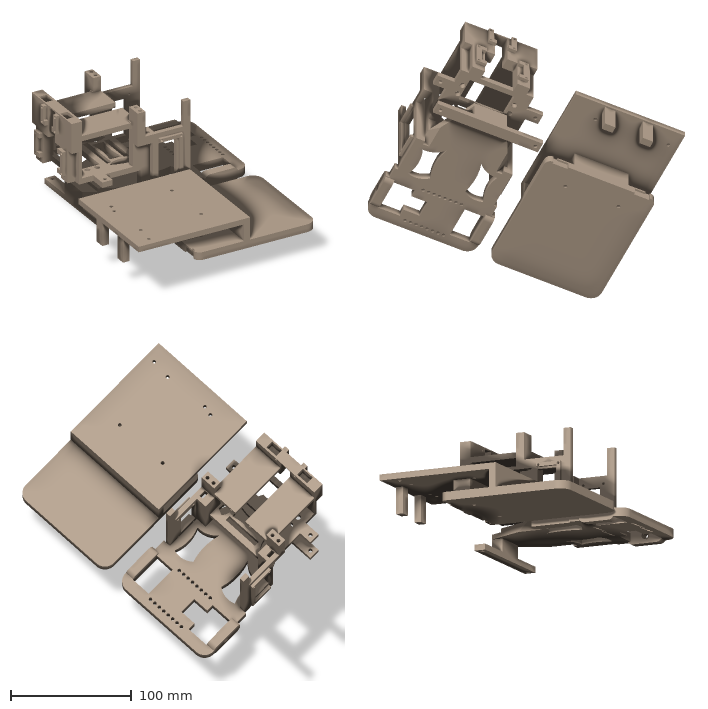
import cadquery as cq


total_width = 213.5
body_width = 100.1
half_width = body_width / 2
cover_center_x = total_width - body_width
base_thickness = 7.3
plate_bottom = 22.8
plate_top = 28.0
rear_corner_radius = 10.0

ear_rear_y = -10.2
ear_front_y = -42.5
panel_rear_y = -53.0
pillar_front_y = -59.5
ledge_rear_y = -85.4
panel_front_y = -88.8
plate_rear_y = -90.3
post_rear_y = -95.8
post_front_y = -103.3
base_step_y = -128.0
arm_rear_y = -129.5
arm_front_y = -139.4
block_rear_y = -150.0
block_front_y = -160.0

shoulder_x = 46.7
panel_outer_x = 44.0
panel_inner_x = 39.7
leg_outer_x = 36.3
leg_inner_x = 29.7
block_outer_x = 33.0
block_window_x = 15.0
slot_x = 5.5
arm_tip_x = 48.0

wall_top = 57.8
post_top = 81.1
post_shoulder = 50.0
shelf_bottom = 62.5
shelf_top = 67.5

window_rear_y = -10.2
window_front_y = -39.3
ear_inner_x = 41.8
ear_bottom = -2.5
ear_top = 10.2
ear_fillet = 5.1
pivot_y = -25.6
pivot_z = (ear_bottom + ear_top) / 2
pivot_diameter = 6.0
pivot_boss_diameter = 7.0
pivot_boss_length = 0.9
left_window_inner_x = -21.8
right_window_inner_x = 24.0
notch_inner_x = -7.0
notch_rear_y = -17.3
notch_front_y = -32.7
header_count = 8
header_span = 35.2
header_center_x = 1.7
header_rows_y = (-7.7, -42.5)
header_diameter = 3.0
curved_rear_outer = (-34.2, -52.7)
curved_rear_middle = (-26.0, -51.7)
curved_rear_inner = (-16.0, -56.0)
curved_inner_middle = (-18.4, -71.5)
curved_front_inner = (-16.0, -87.7)
curved_front_middle = (-23.7, -82.0)
curved_front_outer = (-34.2, -80.3)
curved_outer_middle = (-31.4, -66.4)
nose_half_width = 15.0
nose_top = 4.0
chamfer_width = 5.5
stand_bottom = -16.2
stand_top = -11.0
arm_hole_x = 43.5
arm_hole_y = -134.3
arm_hole_diameter = 3.5

pad_bar = 3.2
pad_hole_diameter = 2.3
pad_hole_inset = 2.0
panel_pad_outer_x = 46.7
panel_pad_rear_y = -61.3
panel_pad_front_y = -83.5
panel_pad_top = 53.2
opening_rear_y = -66.2
opening_bottom = 13.7
opening_top = 48.2
ledge_slot_front_y = -95.2
recess_depth = 1.7
post_hole_x = (33.5, 40.3)
post_hole_y = -99.0
post_hole_diameter = 3.2
post_hole_depth = 10.7
collar_thickness = 0.9

block_window_top = 51.5
slot_top = 79.8
block_notch_x = 26.5
block_notch_y = -153.0
block_notch_top = 53.2
pocket_inner_x = 12.0
pocket_outer_x = 23.0
pocket_rear_y = -152.0
pocket_front_y = -158.8
pocket_depth = 10.7
block_pad_height = 3.5
lower_pad_outer_x = 23.7
lower_pad_bottom = 28.8
lower_pad_top = 51.2
upper_pad_outer_x = 12.5
upper_pad_bottom = 63.0
upper_pad_top = 79.8
block_pad_bar = 4.3

bar_rear_y = -146.6
bar_front_y = -151.5
mouth_left_x = -22.5
mouth_right_x = 18.4
mouth_rear_y = -124.9
rear_slot_x = 16.6
rear_slot_front_y = -100.5
front_slot_x = 20.3
front_slot_rear_y = -114.5
front_slot_front_y = -119.1
waist_x = 15.0
waist_center_y = -107.5
waist_end_half = 5.5
waist_middle_half = 3.8
plate_window_inner_rear = (-22.0, -96.5)
plate_window_inner_middle = (-18.4, -107.2)
plate_window_front = (-23.7, -118.3)
plate_window_outer_middle = (-26.3, -110.0)
plate_window_outer_rear = (-27.7, -99.3)
screws_x = (-25.5, 22.2)
screws_y = (-129.4, -138.7)
screw_diameter = 4.7

cover_length = 171.0
step_y = -64.5
step_wall_thickness = 5.8
front_corner_radius = 5.5
relief_depth = 1.7
relief_outer_x = 44.2
relief_step_x = 40.3
relief_inner_x = 30.5
relief_top = 5.8
rib_half_width = 24.8
rib_rear_y = -100.0
rib_front_y = -115.3
cover_leg_rear_y = -163.3
cover_leg_front_y = -169.5
cover_left_leg_x = -22.6
cover_leg_width = 9.5
cover_leg_pitch = 34.5
mount_x = 24.3
mounts_y = (-96.5, -154.3)
mount_diameter = 3.2
front_holes_x = (-16.0, 41.6)
front_hole_y = -156.5
front_hole_diameter = 3.0


def box(x_range, y_range, z_range):
    """A box between two values on each axis, given in either order."""
    x0, x1 = sorted(x_range)
    y0, y1 = sorted(y_range)
    z0, z1 = sorted(z_range)
    return cq.Workplane("XY").box(x1 - x0, y1 - y0, z1 - z0, centered=False).translate((x0, y0, z0))


def pair(shape):
    """A shape together with its mirror image across X = 0."""
    return shape.union(shape.mirror("YZ"))


def drill_z(points, diameter, z_range):
    """Round cutters along Z; the points are (x, y)."""
    z0, z1 = z_range
    return cq.Workplane("XY", origin=(0, 0, z0)).pushPoints(points).circle(diameter / 2).extrude(z1 - z0)


def drill_y(points, diameter, y_range):
    """Round cutters along Y; the points are (x, z)."""
    y0, y1 = y_range
    return cq.Workplane("XZ", origin=(0, y1, 0)).pushPoints(points).circle(diameter / 2).extrude(y1 - y0)


def drill_x(points, diameter, x_range):
    """Round cutters along X; the points are (y, z)."""
    x0, x1 = x_range
    return cq.Workplane("YZ", origin=(x0, 0, 0)).pushPoints(points).circle(diameter / 2).extrude(x1 - x0)


def base():
    """Floor of the frame: rounded rear, shoulders, and a nose that narrows and thins to the front."""
    rear = box((-half_width, half_width), (ear_front_y, 0), (0, base_thickness))
    rear = rear.edges("|Z and >Y").fillet(rear_corner_radius)
    shoulders = box((-shoulder_x, shoulder_x), (panel_rear_y, ear_front_y), (0, base_thickness))
    middle = box((-panel_outer_x, panel_outer_x), (panel_front_y, panel_rear_y), (0, base_thickness))
    nose = (
        cq.Workplane("XY")
        .polyline([
            (-leg_outer_x, panel_front_y), (-leg_outer_x, post_rear_y), (-nose_half_width, arm_front_y),
            (nose_half_width, arm_front_y), (leg_outer_x, post_rear_y), (leg_outer_x, panel_front_y),
        ])
        .close()
        .extrude(base_thickness)
    )
    thinning = box((-leg_outer_x, leg_outer_x), (arm_front_y, base_step_y), (nose_top, base_thickness))
    return rear.union(shoulders).union(middle).union(nose.cut(thinning))


def nose_chamfers():
    """Sloped cuts under both edges of the nose, starting behind the front face of the side panels."""
    wedge = (
        cq.Workplane("XZ", origin=(0, ledge_rear_y, 0))
        .polyline([(-leg_outer_x, base_thickness), (-leg_outer_x, 0), (-leg_outer_x + chamfer_width, 0)])
        .close()
        .extrude(ledge_rear_y - base_step_y)
    )
    return pair(wedge)


def base_cutouts():
    """Rear windows, header holes and the pair of curved windows, all through the floor."""
    through = (0, base_thickness)
    left = box((-ear_inner_x, left_window_inner_x), (window_front_y, window_rear_y), through)
    notch = box((left_window_inner_x, notch_inner_x), (notch_front_y, notch_rear_y), through)
    right = box((right_window_inner_x, ear_inner_x), (window_front_y, window_rear_y), through)
    first_x = header_center_x - header_span / 2
    pitch = header_span / (header_count - 1)
    headers = [(first_x + i * pitch, y) for i in range(header_count) for y in header_rows_y]
    curved = (
        cq.Workplane("XY")
        .moveTo(*curved_rear_outer)
        .threePointArc(curved_rear_middle, curved_rear_inner)
        .threePointArc(curved_inner_middle, curved_front_inner)
        .threePointArc(curved_front_middle, curved_front_outer)
        .threePointArc(curved_outer_middle, curved_rear_outer)
        .close()
        .extrude(base_thickness)
    )
    header_holes = drill_z(headers, header_diameter, through)
    return left.union(notch).union(right).union(header_holes).union(pair(curved))


def ears():
    """Thick rounded side rails beside the rear windows."""
    ear = box((-half_width, -ear_inner_x), (ear_front_y, ear_rear_y), (ear_bottom, ear_top))
    return pair(ear.edges("|X").fillet(ear_fillet))


def pivot_boss():
    """Low boss on the inner side of the left ear."""
    length = (-ear_inner_x, -ear_inner_x + pivot_boss_length)
    return drill_x([(pivot_y, pivot_z)], pivot_boss_diameter, length)


def pivot_bore():
    """Bore through the left ear and its boss."""
    return drill_x([(pivot_y, pivot_z)], pivot_diameter, (-half_width, -ear_inner_x + pivot_boss_length))


def side_panel():
    """Left side panel: wall, rear pillar, front return wall and the raised C frame around its opening."""
    wall = box((-panel_outer_x, -panel_inner_x), (panel_front_y, panel_rear_y), (0, wall_top))
    pillar = box((-panel_outer_x, -panel_inner_x), (pillar_front_y, panel_rear_y), (0, post_top))
    wall_heights = (base_thickness, wall_top)
    return_wall = box((-panel_outer_x, -leg_inner_x), (panel_front_y, ledge_rear_y), wall_heights)
    pad_span = (panel_pad_front_y, panel_pad_rear_y)
    pad = box((-panel_pad_outer_x, -panel_outer_x), pad_span, (base_thickness, panel_pad_top))
    pad_hollow = box(
        (-panel_pad_outer_x, -panel_outer_x),
        (panel_pad_front_y, panel_pad_rear_y - pad_bar),
        (base_thickness + pad_bar, panel_pad_top - pad_bar),
    )
    opening = box(
        (-panel_pad_outer_x, -panel_inner_x),
        (panel_pad_front_y, opening_rear_y),
        (opening_bottom, opening_top),
    )
    holes = [
        (y, z)
        for y in (panel_pad_rear_y - pad_hole_inset, panel_pad_front_y + pad_hole_inset)
        for z in (base_thickness + pad_hole_inset, panel_pad_top - pad_hole_inset)
    ]
    bores = drill_x(holes, pad_hole_diameter, (-panel_pad_outer_x, -panel_inner_x))
    panel = wall.union(pillar).union(return_wall).union(pad)
    return panel.cut(pad_hollow).cut(opening).cut(bores)


def front_post():
    """Left front post: leg, ledge with a slot, overhanging head with two blind holes, and shelf collar."""
    leg = box((-leg_outer_x, -leg_inner_x), (post_rear_y, panel_front_y), (base_thickness, wall_top))
    ledge = box((-panel_outer_x, -leg_inner_x), (post_rear_y, panel_front_y), (post_shoulder, wall_top))
    slot = box(
        (-panel_inner_x, -leg_outer_x), (ledge_slot_front_y, panel_front_y), (post_shoulder, wall_top)
    )
    column = box((-leg_outer_x, -leg_inner_x), (post_front_y, post_rear_y), (plate_bottom, post_top))
    head = box((-panel_outer_x, -leg_inner_x), (post_front_y, post_rear_y), (post_shoulder, post_top))
    points = [(-x, post_hole_y) for x in post_hole_x]
    holes = drill_z(points, post_hole_diameter, (post_top - post_hole_depth, post_top))
    collar = box(
        (-block_outer_x - collar_thickness, -leg_inner_x),
        (post_front_y - collar_thickness, post_front_y),
        (shelf_bottom, shelf_top + collar_thickness),
    )
    return leg.union(ledge.cut(slot)).union(column).union(head).cut(holes).union(collar)


def right_recess():
    """Shallow recess in the front face of the right return wall only."""
    return box(
        (leg_outer_x, panel_inner_x),
        (panel_front_y, panel_front_y + recess_depth),
        (base_thickness, post_shoulder),
    )


def lower_plate():
    """Plate between the legs and the front block, with mounting arms and a pattern of openings."""
    heights = (plate_bottom, plate_top)
    plate = box((-leg_outer_x, leg_outer_x), (arm_front_y, plate_rear_y), heights)
    arms = box((-arm_tip_x, arm_tip_x), (arm_front_y, arm_rear_y), heights)
    rails = box((-block_outer_x, block_outer_x), (bar_front_y, arm_front_y), heights)
    mouth = box((mouth_left_x, mouth_right_x), (bar_rear_y, mouth_rear_y), heights)
    rear_slot = box((-rear_slot_x, rear_slot_x), (rear_slot_front_y, post_rear_y), heights)
    front_slot = box((-front_slot_x, front_slot_x), (front_slot_front_y, front_slot_rear_y), heights)
    waist = (
        cq.Workplane("XY", origin=(0, 0, plate_bottom))
        .moveTo(-waist_x, waist_center_y + waist_end_half)
        .threePointArc((0, waist_center_y + waist_middle_half), (waist_x, waist_center_y + waist_end_half))
        .lineTo(waist_x, waist_center_y - waist_end_half)
        .threePointArc((0, waist_center_y - waist_middle_half), (-waist_x, waist_center_y - waist_end_half))
        .close()
        .extrude(plate_top - plate_bottom)
    )
    side_window = (
        cq.Workplane("XY", origin=(0, 0, plate_bottom))
        .moveTo(*plate_window_inner_rear)
        .threePointArc(plate_window_inner_middle, plate_window_front)
        .threePointArc(plate_window_outer_middle, plate_window_outer_rear)
        .close()
        .extrude(plate_top - plate_bottom)
    )
    screws = drill_z([(x, y) for x in screws_x for y in screws_y], screw_diameter, heights)
    plate = plate.union(arms).union(rails)
    for opening in (mouth, rear_slot, front_slot, waist, pair(side_window), screws):
        plate = plate.cut(opening)
    return plate


def shelf():
    """Left upper shelf from the front post to the front block."""
    plate = box((-block_outer_x, -slot_x), (block_rear_y, post_rear_y), (shelf_bottom, shelf_top))
    post_space = box((-block_outer_x, -leg_inner_x), (post_front_y, post_rear_y), (shelf_bottom, shelf_top))
    return plate.cut(post_space)


def block_pad(outer_x, inner_x, z_range, top_bar):
    """Raised frame on the left of the front block, open toward the middle."""
    bottom, top = z_range
    pad_front_y = block_front_y - block_pad_height
    pad = box((-outer_x, -inner_x), (pad_front_y, block_front_y), z_range)
    hollow = box(
        (-outer_x + block_pad_bar, -inner_x),
        (pad_front_y, block_front_y),
        (bottom + block_pad_bar, top - top_bar),
    )
    return pad.cut(hollow)


def front_block():
    """Front block: two legs joined at the top, with pockets, side notches and four raised frames."""
    block = box((-block_outer_x, block_outer_x), (block_front_y, block_rear_y), (plate_bottom, post_top))
    window = box(
        (-block_window_x, block_window_x), (block_front_y, block_rear_y), (plate_bottom, block_window_top)
    )
    slot = box((-slot_x, slot_x), (block_front_y, block_rear_y), (block_window_top, slot_top))
    notch = box(
        (-block_outer_x, -block_notch_x), (block_front_y, block_notch_y), (plate_bottom, block_notch_top)
    )
    pocket = box(
        (-pocket_outer_x, -pocket_inner_x),
        (pocket_front_y, pocket_rear_y),
        (post_top - pocket_depth, post_top),
    )
    block = block.cut(window).cut(slot).cut(pair(notch)).cut(pair(pocket))
    lower = block_pad(lower_pad_outer_x, block_window_x, (lower_pad_bottom, lower_pad_top), block_pad_bar)
    upper = block_pad(upper_pad_outer_x, slot_x, (upper_pad_bottom, upper_pad_top), 0)
    bar = box((mouth_left_x, mouth_right_x), (bar_front_y, bar_rear_y), (plate_bottom, plate_top))
    return block.union(pair(lower)).union(pair(upper)).union(bar)


def block_bores():
    """Small bores along Y through the raised frames and everything in line behind them."""
    lower_x = lower_pad_outer_x - pad_hole_inset
    upper_x = upper_pad_outer_x - pad_hole_inset
    points = []
    for side in (-1, 1):
        for z in (lower_pad_bottom + pad_hole_inset, lower_pad_top - pad_hole_inset):
            points.append((side * lower_x, z))
        for z in (upper_pad_bottom + pad_hole_inset, upper_pad_top - pad_hole_inset):
            points.append((side * upper_x, z))
    return drill_y(points, pad_hole_diameter, (block_front_y - block_pad_height, post_rear_y))


def stand():
    """Stem under the nose with a crossbar at the bottom."""
    stem = box((-nose_half_width, nose_half_width), (arm_front_y, arm_rear_y), (stand_bottom, nose_top))
    crossbar = box((-arm_tip_x, arm_tip_x), (arm_front_y, arm_rear_y), (stand_bottom, stand_top))
    return stem.union(crossbar)


def make_frame():
    frame = base().union(ears()).cut(base_cutouts()).union(pivot_boss())
    mirrored = (side_panel(), front_post(), shelf())
    for part in (*map(pair, mirrored), lower_plate(), front_block(), stand()):
        frame = frame.union(part)
    arm_holes = drill_z(
        [(-arm_hole_x, arm_hole_y), (arm_hole_x, arm_hole_y)], arm_hole_diameter, (stand_bottom, plate_top)
    )
    for opening in (pivot_bore(), nose_chamfers(), right_recess(), arm_holes, block_bores()):
        frame = frame.cut(opening)
    return frame


def cover_plates():
    """Low rear plate with rounded corners, raised front plate, the step wall and a rib between them."""
    low = box((-half_width, half_width), (rib_front_y, 0), (0, base_thickness))
    low = low.edges("|Z and >Y").fillet(rear_corner_radius).edges("|Z and <Y").fillet(front_corner_radius)
    top = box((-half_width, half_width), (-cover_length, step_y), (plate_bottom, plate_top))
    wall = box((-half_width, half_width), (step_y - step_wall_thickness, step_y), (base_thickness, plate_top))
    rib = box((-rib_half_width, rib_half_width), (rib_front_y, rib_rear_y), (base_thickness, plate_bottom))
    return low.union(top).union(wall).union(rib)


def cover_reliefs():
    """Shallow stepped reliefs in the front edge of the low plate."""
    depth = (rib_front_y, rib_front_y + relief_depth)
    pocket = box((-relief_outer_x, -relief_inner_x), depth, (0, relief_top))
    corner = box((-relief_outer_x, -relief_step_x), depth, (0, base_thickness))
    return pair(pocket.union(corner))


def cover_legs():
    left = box(
        (cover_left_leg_x, cover_left_leg_x + cover_leg_width),
        (cover_leg_front_y, cover_leg_rear_y),
        (0, plate_bottom),
    )
    return left.union(left.translate((cover_leg_pitch, 0, 0)))


def cover_holes():
    """Four mounting holes on a rectangle, and two holes near the front edge."""
    through = (0, plate_top)
    corners = [(side * mount_x, y) for side in (-1, 1) for y in mounts_y]
    front = [(x, front_hole_y) for x in front_holes_x]
    return drill_z(corners, mount_diameter, through).union(drill_z(front, front_hole_diameter, through))


def make_cover():
    cover = cover_plates().union(cover_legs()).cut(cover_reliefs()).cut(cover_holes())
    return cover.translate((cover_center_x, 0, 0))


frame = make_frame()
cover = make_cover()
result = cq.Compound.makeCompound([frame.val(), cover.val()])